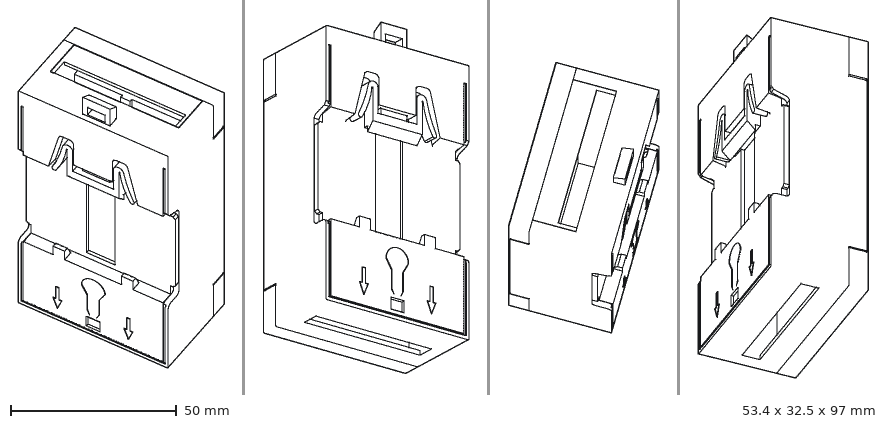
import cadquery as cq


TOTAL_HEIGHT = 97.0
CASE_WIDTH = 53.4
CASE_HEIGHT = 89.9
CASE_DEPTH = 32.3
CASE_EDGE = 0.5
HALF_WIDTH = CASE_WIDTH / 2

COVER_PLATE = 0.6
COVER_SEAM_Y = 25.8
UPPER_BLOCK_Z = 76.2
LOWER_BLOCK_Z = 13.7
UPPER_GAP = 0.6
LOWER_GAP = 0.4
COVER_EDGE = 0.2
PLATE_Y = CASE_DEPTH - COVER_PLATE

SLOT_HALF = 21.5
SLOT_FRONT = 12.2
SLOT_BACK = 18.1
END_WALL = 1.6
CAVITY_BACK = 23.9
LEDGE_Z = 79.5
LEDGE_BACK = 27.4
LEDGE_TAB_X = -2.8
LEDGE_TAB_WIDTH = 3.4
LEDGE_TAB_REACH = 1.0
END_RECESS_HALF = 22.8
END_RECESS_DEPTH = 0.3

RAIL_TOP = 63.5
RAIL_TOP_INNER = 62.8
RAIL_BOTTOM = 26.9
RAIL_FLOOR = 4.4
RAIL_TOP_ROUND = 0.5
CORE_HALF = 24.8
PAD_HALF = 26.5
PAD_BOTTOM = 30.4
PAD_TOP = 60.05
PAD_CHAMFER = 0.8
SIDE_FLOOR = 6.1
SIDE_TOP_EDGE = 65.2
SIDE_TOP_SHOULDER = 64.0
SIDE_BOTTOM = 26.7
SIDE_ROUND = 1.7
SIDE_INNER_ROUND = 1.3

GROOVE_WIDTH = 0.8
GROOVE_DEPTH = 0.4
GROOVE_TOP = 83.8
GROOVE_BOTTOM = 1.3
FOOT_GROOVE_HEIGHT = 0.4

CLAW_X = 12.1
CLAW_WIDTH = 4.1
CLAW_TOP = 30.5
CLAW_TIP = 1.6
CLAW_ROOT = 3.5

BAR_HALF = 4.85
BAR_FRONT = 1.8
BAR_BACK = 5.5
BAR_TIP_DROP = 2.1
TAB_WINDOW_HALF = 3.1
TAB_WINDOW_BOTTOM = 90.5
TAB_WINDOW_TOP = 93.5
ARM_OUTER = 9.2
ARM_INNER = 7.3
ARM_SHOULDER = 74.7
LEG_ROOT_Z = 73.9
BEND_APEX = (-8.9, 76.0)
LEG_OUTER_TOP = (-10.9, 74.5)
LEG_OUTER_MIDDLE = (-12.1, 69.8)
LEG_OUTER_END = (-14.5, 64.2)
LEG_TIP = (-14.1, 63.1)
LEG_INNER_END = (-13.2, 63.25)
LEG_INNER_MIDDLE = (-10.8, 68.4)
LEG_INNER_TOP = (-9.5, LEG_ROOT_Z)
CROSSBAR_TOP = 65.9
CROSSBAR_BOTTOM = 62.2
HOOK_TOP = 63.0
HOOK_TIP = 60.2
HOOK_BACK = 2.7

GUIDE_HALF = 5.0
GUIDE_BOTTOM = 28.9
TONGUE_HALF = 6.9
TONGUE_BOTTOM = 68.7
GUIDE_WIDE_TOP = 70.6
POCKET_HALF = 16.2
POCKET_TOP_HALF = 12.0
POCKET_TOP = 78.6
POCKET_ROUND = 1.6

ARROW_X = 12.6
ARROW_HEIGHT = 0.2
ARROW_TOP = 14.0
ARROW_NECK = 8.9
ARROW_TIP = 5.0
ARROW_SHAFT_HALF = 0.6
ARROW_HEAD_HALF = 1.6
KEY_DEPTH = 0.3
KEY_HEAD_RADIUS = 4.2
KEY_HEAD_Z = 19.4
KEY_NECK_Z = 16.0
KEY_NECK_HALF = 2.1
KEY_FOOT_Z = 9.7
KEY_END_Z = 8.1
KEY_END_HALF = 1.3
SQUARE_WIDTH = 4.9
SQUARE_HEIGHT = 4.0
SQUARE_Z = 4.85
SQUARE_DEPTH = 0.6
SQUARE_TAPER = 33


def block(x0, x1, y0, y1, z0, z1):
    return cq.Workplane("XY").box(x1 - x0, y1 - y0, z1 - z0, centered=False).translate((x0, y0, z0))


def centred_block(half, y0, y1, z0, z1):
    return block(-half, half, y0, y1, z0, z1)


def profile_along_x(half):
    """Return a sketch plane (Y, Z) at -half, to be extruded by 2 * half."""
    return cq.Workplane("YZ", origin=(-half, 0, 0))


def face_sketch():
    """Return the rail-side face as a sketch plane; positive extrusion leaves the case."""
    return cq.Workplane(cq.Plane(origin=(0, 0, 0), xDir=(1, 0, 0), normal=(0, -1, 0)))


def mirrored(shape):
    return shape.mirror("YZ")


def side_recess():
    """Rounded rail gap cut into the two outer side walls."""
    return (
        profile_along_x(HALF_WIDTH)
        .moveTo(0, SIDE_TOP_EDGE)
        .lineTo(SIDE_ROUND / 2, SIDE_TOP_SHOULDER)
        .lineTo(SIDE_FLOOR - SIDE_INNER_ROUND, RAIL_TOP_INNER)
        .tangentArcPoint((SIDE_FLOOR, RAIL_TOP_INNER - SIDE_INNER_ROUND), relative=False)
        .lineTo(SIDE_FLOOR, SIDE_BOTTOM + SIDE_INNER_ROUND)
        .radiusArc((SIDE_FLOOR - SIDE_INNER_ROUND, SIDE_BOTTOM), SIDE_INNER_ROUND)
        .lineTo(SIDE_ROUND, SIDE_BOTTOM)
        .radiusArc((0, SIDE_BOTTOM - SIDE_ROUND), -SIDE_ROUND)
        .close()
        .extrude(CASE_WIDTH)
    )


def rail_core():
    """Central block behind the rail: stepped profile plus the wider pad."""
    core = (
        profile_along_x(CORE_HALF)
        .moveTo(0, SIDE_TOP_EDGE)
        .lineTo(0, RAIL_TOP)
        .lineTo(RAIL_FLOOR, RAIL_TOP_INNER)
        .lineTo(RAIL_FLOOR, RAIL_BOTTOM)
        .lineTo(0, RAIL_BOTTOM)
        .lineTo(0, SIDE_BOTTOM - SIDE_ROUND)
        .lineTo(SLOT_FRONT, SIDE_BOTTOM - SIDE_ROUND)
        .lineTo(SLOT_FRONT, SIDE_TOP_EDGE)
        .close()
        .extrude(2 * CORE_HALF)
    )
    upper_corner = cq.selectors.NearestToPointSelector((0, RAIL_FLOOR, RAIL_TOP_INNER))
    core = core.edges(upper_corner).fillet(RAIL_TOP_ROUND)
    pad = centred_block(PAD_HALF, RAIL_FLOOR, SLOT_FRONT, PAD_BOTTOM, PAD_TOP)
    return core.union(pad.edges("|Y").chamfer(PAD_CHAMFER))


def rail_claw(x):
    return (
        cq.Workplane("YZ", origin=(x - CLAW_WIDTH / 2, 0, 0))
        .polyline([(0, RAIL_BOTTOM), (0, CLAW_TOP), (CLAW_TIP, CLAW_TOP), (CLAW_ROOT, RAIL_BOTTOM)])
        .close()
        .extrude(CLAW_WIDTH)
    )


def side_groove():
    """Left groove beside the core, from the upper wall to the foot."""
    return block(-CORE_HALF - GROOVE_WIDTH, -CORE_HALF, 0, GROOVE_DEPTH, GROOVE_BOTTOM, GROOVE_TOP)


def foot_groove():
    half = CORE_HALF + GROOVE_WIDTH
    return centred_block(half, 0, GROOVE_DEPTH, GROOVE_BOTTOM, GROOVE_BOTTOM + FOOT_GROOVE_HEIGHT)


def spring_pocket():
    """Pocket for the latch springs, leaving a tongue in the middle."""
    outline = (
        face_sketch()
        .polyline([
            (-POCKET_HALF, RAIL_TOP_INNER - RAIL_TOP_ROUND), (-POCKET_TOP_HALF, POCKET_TOP),
            (POCKET_TOP_HALF, POCKET_TOP), (POCKET_HALF, RAIL_TOP_INNER - RAIL_TOP_ROUND),
        ])
        .close()
        .extrude(-RAIL_FLOOR)
    )
    tongue = centred_block(TONGUE_HALF, 0, RAIL_FLOOR, TONGUE_BOTTOM, POCKET_TOP)
    return outline.cut(tongue).edges("|Y and >Z").fillet(POCKET_ROUND)


def latch_guide():
    """Sliding channel of the latch bar, wider along the rail floor."""
    wide = centred_block(GUIDE_HALF, BAR_FRONT, BAR_BACK, GUIDE_BOTTOM, GUIDE_WIDE_TOP)
    fitted = centred_block(BAR_HALF, BAR_FRONT, BAR_BACK, GUIDE_WIDE_TOP, CASE_HEIGHT)
    return wide.union(fitted)


def inner_cavity():
    cavity = centred_block(SLOT_HALF, SLOT_FRONT, CAVITY_BACK, END_WALL, CASE_HEIGHT - END_WALL)
    slot = centred_block(SLOT_HALF, SLOT_FRONT, SLOT_BACK, 0, CASE_HEIGHT)
    ledge_space = centred_block(SLOT_HALF, SLOT_FRONT, COVER_SEAM_Y, UPPER_BLOCK_Z, CASE_HEIGHT - END_WALL)
    return cavity.union(slot).union(ledge_space)


def key_recess():
    """Shallow keyhole mark whose round head and foot ramp out to the face."""
    outline = (
        face_sketch()
        .moveTo(-KEY_HEAD_RADIUS, KEY_HEAD_Z)
        .threePointArc((0, KEY_HEAD_Z + KEY_HEAD_RADIUS), (KEY_HEAD_RADIUS, KEY_HEAD_Z))
        .lineTo(KEY_NECK_HALF, KEY_NECK_Z)
        .lineTo(KEY_NECK_HALF, KEY_FOOT_Z)
        .lineTo(KEY_END_HALF, KEY_END_Z)
        .lineTo(-KEY_END_HALF, KEY_END_Z)
        .lineTo(-KEY_NECK_HALF, KEY_FOOT_Z)
        .lineTo(-KEY_NECK_HALF, KEY_NECK_Z)
        .close()
        .extrude(-KEY_DEPTH)
    )
    ramps = (
        profile_along_x(KEY_HEAD_RADIUS)
        .polyline([
            (0, KEY_HEAD_Z + KEY_HEAD_RADIUS), (KEY_DEPTH, KEY_HEAD_Z),
            (KEY_DEPTH, KEY_FOOT_Z), (0, KEY_END_Z),
        ])
        .close()
        .extrude(2 * KEY_HEAD_RADIUS)
    )
    return outline.intersect(ramps)


def square_recess():
    return (
        cq.Workplane(cq.Plane(origin=(0, 0, SQUARE_Z), xDir=(-1, 0, 0), normal=(0, 1, 0)))
        .rect(SQUARE_WIDTH, SQUARE_HEIGHT)
        .extrude(SQUARE_DEPTH, taper=SQUARE_TAPER)
    )


def arrow(x):
    return (
        face_sketch()
        .polyline([
            (x - ARROW_SHAFT_HALF, ARROW_TOP), (x + ARROW_SHAFT_HALF, ARROW_TOP),
            (x + ARROW_SHAFT_HALF, ARROW_NECK), (x + ARROW_HEAD_HALF, ARROW_NECK),
            (x, ARROW_TIP),
            (x - ARROW_HEAD_HALF, ARROW_NECK), (x - ARROW_SHAFT_HALF, ARROW_NECK),
        ])
        .close()
        .extrude(ARROW_HEIGHT)
    )


def make_housing():
    body = centred_block(HALF_WIDTH, 0, COVER_SEAM_Y, 0, CASE_HEIGHT).edges("|Y").fillet(CASE_EDGE)
    middle = centred_block(
        HALF_WIDTH, SLOT_FRONT, PLATE_Y, LOWER_BLOCK_Z + LOWER_GAP, UPPER_BLOCK_Z - UPPER_GAP
    )
    body = body.union(middle).cut(side_recess()).union(rail_core())
    body = body.cut(side_groove()).cut(mirrored(side_groove())).cut(foot_groove())
    body = body.cut(spring_pocket()).cut(latch_guide()).cut(inner_cavity())
    body = body.cut(centred_block(
        END_RECESS_HALF, SLOT_FRONT, COVER_SEAM_Y, CASE_HEIGHT - END_RECESS_DEPTH, CASE_HEIGHT
    ))
    body = body.cut(key_recess()).cut(square_recess())
    for side in (-1, 1):
        body = body.union(rail_claw(side * CLAW_X)).union(arrow(side * ARROW_X))
    return body


def make_cover():
    cover = centred_block(HALF_WIDTH, COVER_SEAM_Y, CASE_DEPTH, 0, CASE_HEIGHT)
    cover = cover.edges("|Y").fillet(CASE_EDGE).faces(">Y").chamfer(COVER_EDGE)
    cover = cover.cut(centred_block(HALF_WIDTH, COVER_SEAM_Y, PLATE_Y, LOWER_BLOCK_Z, UPPER_BLOCK_Z))
    cover = cover.cut(centred_block(SLOT_HALF, COVER_SEAM_Y, LEDGE_BACK, LEDGE_Z, CASE_HEIGHT - END_WALL))
    return cover.union(inner_ledge())


def inner_ledge():
    """Ledge of the cover reaching into the cavity, with a small tab on its edge."""
    ledge = centred_block(SLOT_HALF, CAVITY_BACK, COVER_SEAM_Y, UPPER_BLOCK_Z, LEDGE_Z)
    tab_left = LEDGE_TAB_X - LEDGE_TAB_WIDTH / 2
    tab_front = CAVITY_BACK - LEDGE_TAB_REACH
    tab = block(tab_left, tab_left + LEDGE_TAB_WIDTH, tab_front, CAVITY_BACK, UPPER_BLOCK_Z, LEDGE_Z)
    return ledge.union(tab)


def latch_spring():
    """Left spring: an upright arm, a round bend and a curved free leg."""
    return (
        face_sketch()
        .moveTo(-ARM_INNER, HOOK_TOP)
        .lineTo(-ARM_INNER, ARM_SHOULDER)
        .threePointArc(BEND_APEX, LEG_OUTER_TOP)
        .threePointArc(LEG_OUTER_MIDDLE, LEG_OUTER_END)
        .threePointArc(LEG_TIP, LEG_INNER_END)
        .threePointArc(LEG_INNER_MIDDLE, LEG_INNER_TOP)
        .lineTo(-ARM_OUTER, LEG_ROOT_Z)
        .lineTo(-ARM_OUTER, HOOK_TOP)
        .close()
        .extrude(-RAIL_FLOOR)
    )


def latch_crossbar():
    """Bar joining the springs, with the wedge-shaped rail hook below."""
    return (
        profile_along_x(ARM_OUTER)
        .polyline([
            (0, CROSSBAR_TOP), (RAIL_FLOOR, CROSSBAR_TOP), (RAIL_FLOOR, CROSSBAR_BOTTOM),
            (HOOK_BACK, CROSSBAR_BOTTOM), (HOOK_BACK, HOOK_TIP), (0, HOOK_TOP),
        ])
        .close()
        .extrude(2 * ARM_OUTER)
    )


def latch_bar():
    """Slide bar ending in a bevelled pull tab with a window."""
    bar = (
        profile_along_x(BAR_HALF)
        .polyline([
            (BAR_FRONT, CROSSBAR_BOTTOM), (BAR_FRONT, TOTAL_HEIGHT),
            (BAR_BACK, TOTAL_HEIGHT - BAR_TIP_DROP), (BAR_BACK, CROSSBAR_BOTTOM),
        ])
        .close()
        .extrude(2 * BAR_HALF)
    )
    return bar.cut(centred_block(TAB_WINDOW_HALF, BAR_FRONT, BAR_BACK, TAB_WINDOW_BOTTOM, TAB_WINDOW_TOP))


def make_latch():
    spring = latch_spring()
    return latch_crossbar().union(spring).union(mirrored(spring)).union(latch_bar())


housing = make_housing()
cover = make_cover()
latch = make_latch()

result = cq.Compound.makeCompound([housing.solids().val(), cover.solids().val(), latch.solids().val()])